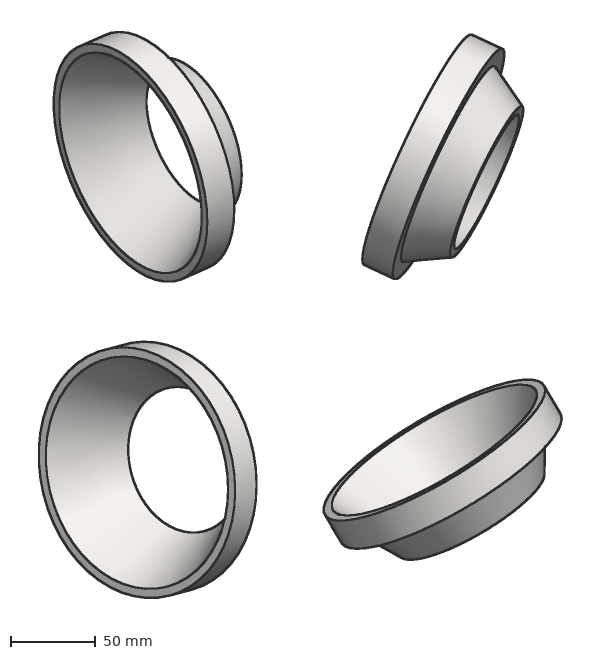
import cadquery as cq
import math

flange_diameter = 150.0
flange_length = 20.0
neck_length = 25.0
mouth_diameter = 139.0
neck_wall = 5.0
cone_half_angle = math.radians(30)

total_length = flange_length + neck_length
taper = math.tan(cone_half_angle)

flange_radius = flange_diameter / 2
mouth_radius = mouth_diameter / 2
bore_end_radius = mouth_radius - total_length * taper
neck_tip_radius = bore_end_radius + neck_wall / math.cos(cone_half_angle)
neck_base_radius = neck_tip_radius + neck_length * taper


def ring_section():
    """Half section in the XY plane: radius along X, axial position along Y."""
    return (
        cq.Workplane("XY")
        .moveTo(mouth_radius, 0)
        .lineTo(flange_radius, 0)
        .lineTo(flange_radius, flange_length)
        .lineTo(neck_base_radius, flange_length)
        .lineTo(neck_tip_radius, total_length)
        .lineTo(bore_end_radius, total_length)
        .close()
    )


result = ring_section().revolve(360, (0, 0, 0), (0, 1, 0))